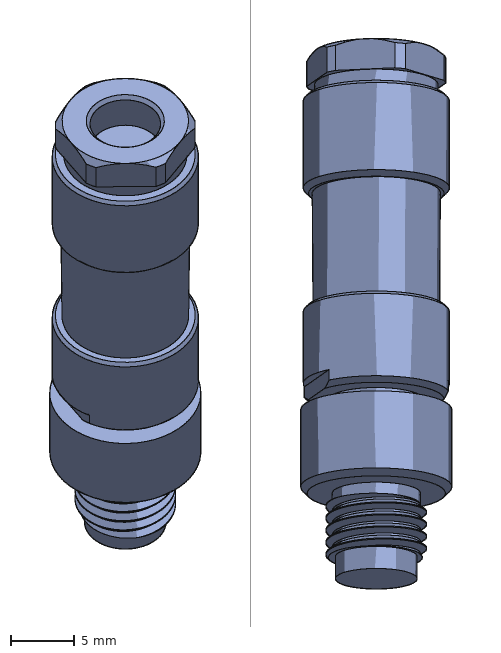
import cadquery as cq
import math

thread_bottom = 1.8
thread_top = 6.0
ring_bottom = 7.0
ring_top = 13.85
flange_bottom = 14.25
lower_collar_bottom = 14.7
flats_top = 16.0
lower_collar_top = 22.15
upper_collar_bottom = 31.6
upper_collar_top = 39.45
nut_bottom = 40.5
nut_top = 43.0

plug_diameter = 6.5
thread_root_diameter = 7.0
thread_crest_diameter = 8.0
ring_diameter = 12.0
neck_diameter = 6.2
flange_diameter = 7.5
collar_diameter = 11.6
nut_neck_diameter = 9.8

sleeve_bottom_diameter = 10.05
sleeve_top_x = 10.5
sleeve_top_y = 10.15

top_chamfer = 0.25
bottom_chamfer = 0.45
ring_chamfer = 0.5

thread_pitch = 1.0
thread_root_width = 0.8
thread_crest_width = 0.1
root_overlap = 0.1

nut_across_flats = 10.0
nut_corner_diameter = 11.1
nut_chamfer_height = 0.45
bore_diameter = 5.6
bore_rim_diameter = 6.2
bore_depth = 3.0


def cylinder(diameter, bottom, top):
    return cq.Workplane("XY").workplane(offset=bottom).circle(diameter / 2).extrude(top - bottom)


def make_collar(bottom, top):
    collar = cylinder(collar_diameter, bottom, top)
    return collar.faces(">Z").chamfer(top_chamfer).faces("<Z").chamfer(bottom_chamfer)


def make_lower_collar():
    """Collar with two opposite wrench flats at its lower end."""
    collar = make_collar(lower_collar_bottom, lower_collar_top)
    flats_height = flats_top - lower_collar_bottom
    flats = (
        cq.Workplane("XY").workplane(offset=lower_collar_bottom)
        .rect(2 * collar_diameter, 2 * collar_diameter)
        .rect(2 * collar_diameter, sleeve_bottom_diameter)
        .extrude(flats_height)
    )
    return collar.cut(flats)


def make_sleeve():
    return (
        cq.Workplane("XY").workplane(offset=lower_collar_top)
        .ellipse(sleeve_bottom_diameter / 2, sleeve_bottom_diameter / 2)
        .workplane(offset=upper_collar_bottom - lower_collar_top)
        .ellipse(sleeve_top_x / 2, sleeve_top_y / 2)
        .loft(ruled=True)
    )


def make_thread():
    """Right-handed V ridge on a core, trimmed flat at both ends."""
    root_radius = thread_root_diameter / 2
    crest_radius = thread_crest_diameter / 2
    start = thread_bottom - thread_pitch
    length = thread_top - thread_bottom + 2 * thread_pitch

    flank_slope = (thread_root_width - thread_crest_width) / 2 / (crest_radius - root_radius)
    base_radius = root_radius - root_overlap
    base_half_width = thread_root_width / 2 + root_overlap * flank_slope

    path = cq.Wire.makeHelix(thread_pitch, length, root_radius, center=cq.Vector(0, 0, start))
    ridge = (
        cq.Workplane("XZ")
        .moveTo(base_radius, start - base_half_width)
        .lineTo(crest_radius, start - thread_crest_width / 2)
        .lineTo(crest_radius, start + thread_crest_width / 2)
        .lineTo(base_radius, start + base_half_width)
        .close()
        .sweep(cq.Workplane(path), isFrenet=True)
    )
    core = cylinder(thread_root_diameter, start - thread_pitch, start + length + thread_pitch)
    thread = core.union(ridge).intersect(cylinder(ring_diameter, thread_bottom, thread_top))
    return thread.union(cylinder(thread_root_diameter, thread_top, ring_bottom))


def make_nut():
    """Hexagon with corners cut by a cylinder and a cone at the top."""
    corner_to_corner = nut_across_flats / math.cos(math.radians(30))
    hexagon = (
        cq.Workplane("XY").workplane(offset=nut_bottom)
        .polygon(6, corner_to_corner)
        .extrude(nut_top - nut_bottom)
    )
    chamfer_width = (nut_corner_diameter - nut_across_flats) / 2
    envelope = (
        cylinder(nut_corner_diameter, nut_bottom, nut_top)
        .faces(">Z").edges().chamfer(nut_chamfer_height, chamfer_width)
    )
    return hexagon.intersect(envelope)


def make_bore():
    """Blind cable entry with a bevelled rim."""
    rim_bevel = (bore_rim_diameter - bore_diameter) / 2
    bore = cylinder(bore_diameter, nut_top - bore_depth, nut_top)
    rim = (
        cq.Workplane("XY").workplane(offset=nut_top)
        .circle(bore_rim_diameter / 2)
        .workplane(offset=-rim_bevel)
        .circle(bore_diameter / 2)
        .loft()
    )
    return bore.union(rim)


coupling_ring = cylinder(ring_diameter, ring_bottom, ring_top).faces("<Z").chamfer(ring_chamfer)

result = (
    make_thread()
    .union(cylinder(plug_diameter, 0, thread_bottom))
    .union(coupling_ring)
    .union(cylinder(neck_diameter, ring_top, flange_bottom))
    .union(cylinder(flange_diameter, flange_bottom, lower_collar_bottom))
    .union(make_lower_collar())
    .union(make_sleeve())
    .union(make_collar(upper_collar_bottom, upper_collar_top))
    .union(cylinder(nut_neck_diameter, upper_collar_top, nut_bottom))
    .union(make_nut())
    .cut(make_bore())
)